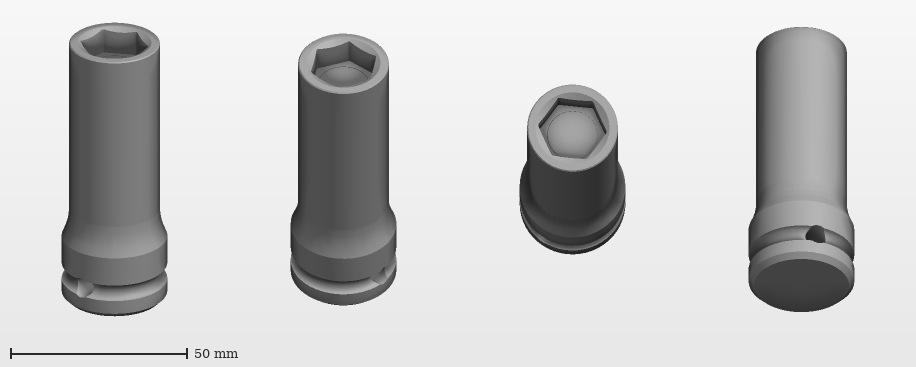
import cadquery as cq
import math

TOTAL_LENGTH = 80.0
DRIVE_RADIUS = 15.0
BARREL_RADIUS = 12.9
DRIVE_CHAMFER = 1.5
DRIVE_TOP = 19.0
NECK_TOP = 28.0
RIM_CHAMFER = 0.3

GROOVE_HEIGHT = 8.0
GROOVE_RADIUS = 2.5
CROSS_HOLE_DIAMETER = 6.0

HEX_ACROSS_FLATS = 17.1
HEX_CORNER_RADIUS = 0.8
HEX_DEPTH = 7.8
MOUTH_RADIUS = 10.5
MOUTH_ANGLE = 30.0

MAGNET_RADIUS = 7.2
MAGNET_LENGTH = 4.8
MAGNET_CHAMFER = 0.2

HEX_FLOOR = TOTAL_LENGTH - HEX_DEPTH
MAGNET_BASE = HEX_FLOOR - MAGNET_LENGTH


def make_blank():
    """Revolved outside: drive end, concave neck tangent to the barrel, and barrel."""
    neck_height = NECK_TOP - DRIVE_TOP
    neck_step = DRIVE_RADIUS - BARREL_RADIUS
    neck_radius = (neck_height**2 + neck_step**2) / (2 * neck_step)
    half_sweep = math.asin(neck_height / neck_radius) / 2
    neck_middle = (
        BARREL_RADIUS + neck_radius * (1 - math.cos(half_sweep)),
        NECK_TOP - neck_radius * math.sin(half_sweep),
    )
    return (
        cq.Workplane("XZ")
        .lineTo(DRIVE_RADIUS - DRIVE_CHAMFER, 0)
        .lineTo(DRIVE_RADIUS, DRIVE_CHAMFER)
        .lineTo(DRIVE_RADIUS, DRIVE_TOP)
        .threePointArc(neck_middle, (BARREL_RADIUS, NECK_TOP))
        .lineTo(BARREL_RADIUS, TOTAL_LENGTH - RIM_CHAMFER)
        .lineTo(BARREL_RADIUS - RIM_CHAMFER, TOTAL_LENGTH)
        .lineTo(0, TOTAL_LENGTH)
        .close()
        .revolve(360, (0, 0, 0), (0, 1, 0))
    )


def make_groove():
    """Ring of round section whose bottom is level with the barrel surface."""
    return (
        cq.Workplane("XZ")
        .center(BARREL_RADIUS + GROOVE_RADIUS, GROOVE_HEIGHT)
        .circle(GROOVE_RADIUS)
        .revolve(360, (-BARREL_RADIUS - GROOVE_RADIUS, 0, 0), (-BARREL_RADIUS - GROOVE_RADIUS, 1, 0))
    )


def make_cross_hole():
    """Cutter along Y through the whole drive end."""
    return (
        cq.Workplane("XZ")
        .center(0, GROOVE_HEIGHT)
        .circle(CROSS_HOLE_DIAMETER / 2)
        .extrude(DRIVE_RADIUS, both=True)
    )


def make_hex_recess():
    """Hexagonal cutter with rounded corners, two of them on the Y axis."""
    across_corners = HEX_ACROSS_FLATS / math.cos(math.radians(30))
    return (
        cq.Workplane("XY", origin=(0, 0, HEX_FLOOR))
        .transformed(rotate=(0, 0, 90))
        .polygon(6, across_corners)
        .extrude(HEX_DEPTH)
        .edges("|Z")
        .fillet(HEX_CORNER_RADIUS)
    )


def make_mouth_cone():
    """Cone, wide end up, that leads into the hexagon."""
    cone_depth = MOUTH_RADIUS * math.tan(math.radians(MOUTH_ANGLE))
    return (
        cq.Workplane("XZ", origin=(0, 0, TOTAL_LENGTH))
        .lineTo(MOUTH_RADIUS, 0)
        .lineTo(0, -cone_depth)
        .close()
        .revolve(360, (0, 0, 0), (0, 1, 0))
    )


def make_magnet_pocket():
    """Blind round pocket in the socket floor that the magnet fills."""
    return cq.Workplane("XY", origin=(0, 0, MAGNET_BASE)).circle(MAGNET_RADIUS).extrude(MAGNET_LENGTH)


def make_socket():
    return (
        make_blank()
        .cut(make_groove())
        .cut(make_cross_hole())
        .cut(make_hex_recess())
        .cut(make_mouth_cone())
        .cut(make_magnet_pocket())
    )


def make_magnet():
    """Disc with a chamfered upper edge, its top level with the socket floor."""
    return (
        cq.Workplane("XY", origin=(0, 0, MAGNET_BASE))
        .circle(MAGNET_RADIUS)
        .extrude(MAGNET_LENGTH)
        .faces(">Z")
        .edges()
        .chamfer(MAGNET_CHAMFER)
    )


socket = make_socket()
magnet = make_magnet()
result = cq.Compound.makeCompound([socket.val(), magnet.val()])